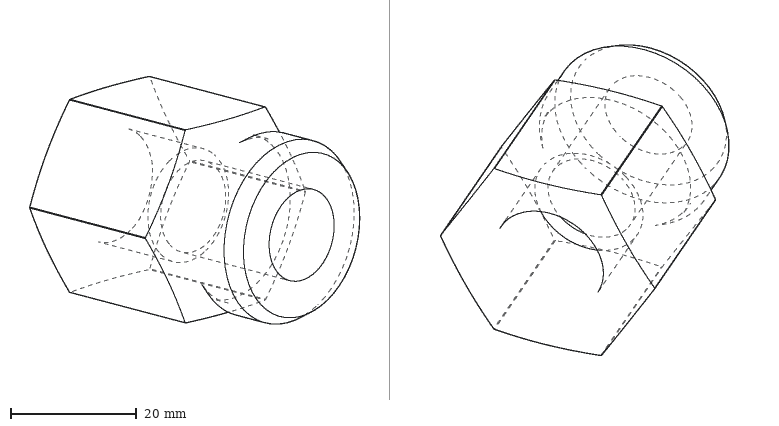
import cadquery as cq
import math

total_length = 43.0
hex_length = 27.0
across_flats = 32.0
hex_corner_diameter = 36.85
hex_face_diameter = 31.1
hex_chamfer_angle = 15.0

neck_diameter = 26.9
spigot_diameter = 30.0
spigot_taper_angle = 30.0
collar_start = 33.8
end_chamfer_length = 2.75
neck_root_radius = 1.15
neck_blend_radius = 1.0
collar_blend_radius = 0.65

through_diameter = 15.0
socket_diameter = 18.6
socket_depth = 18.05
drill_point_angle = 118.0
mouth_diameter = 21.4
mouth_cone_angle = 45.0
mouth_blend_radius = 0.25

overlap = 0.45


def tangent(degrees):
    return math.tan(math.radians(degrees))


def revolve_about_x(profile):
    return profile.close().revolve(360, (0, 0, 0), (1, 0, 0))


def blend_edge_at(body, x, radius, max_diameter):
    """Round the circular edges centred at x whose diameter is at most max_diameter."""
    half_band = 0.05
    reach = max_diameter / 2 + overlap
    band = cq.selectors.BoxSelector(
        (x - half_band, -reach, -reach), (x + half_band, reach, reach), boundingbox=True
    )
    return body.edges("%CIRCLE").edges(band).fillet(radius)


def make_hexagon():
    """Hexagonal prism with flats on top and bottom, turned and chamfered at both ends."""
    corner_to_corner = across_flats / math.cos(math.radians(30))
    prism = cq.Workplane("YZ").polygon(6, corner_to_corner).extrude(hex_length)
    corner_radius = hex_corner_diameter / 2
    face_radius = hex_face_diameter / 2
    chamfer_length = (corner_radius - face_radius) * tangent(hex_chamfer_angle)
    envelope = revolve_about_x(
        cq.Workplane("XY")
        .lineTo(0, face_radius)
        .lineTo(chamfer_length, corner_radius)
        .lineTo(hex_length - chamfer_length, corner_radius)
        .lineTo(hex_length, face_radius)
        .lineTo(hex_length, 0)
    )
    return prism.intersect(envelope)


def make_spigot():
    """Neck and tapered collar, starting inside the hexagon so that the two solids merge."""
    neck_radius = neck_diameter / 2
    collar_radius = spigot_diameter / 2
    taper_length = (collar_radius - neck_radius) / tangent(spigot_taper_angle)
    end_radius = collar_radius - end_chamfer_length * tangent(spigot_taper_angle)
    taper_start = collar_start - taper_length
    spigot = revolve_about_x(
        cq.Workplane("XY")
        .moveTo(hex_length - overlap, 0)
        .lineTo(hex_length - overlap, neck_radius)
        .lineTo(taper_start, neck_radius)
        .lineTo(collar_start, collar_radius)
        .lineTo(total_length - end_chamfer_length, collar_radius)
        .lineTo(total_length, end_radius)
        .lineTo(total_length, 0)
    )
    spigot = blend_edge_at(spigot, taper_start, neck_blend_radius, spigot_diameter)
    return blend_edge_at(spigot, collar_start, collar_blend_radius, spigot_diameter)


def make_neck_root():
    """Concave ring joining the neck to the hexagon face."""
    neck_radius = neck_diameter / 2
    root_end = hex_length + neck_root_radius
    root_top = neck_radius + neck_root_radius
    arc_offset = neck_root_radius * (1 - math.sqrt(0.5))
    return revolve_about_x(
        cq.Workplane("XY")
        .moveTo(hex_length - overlap, neck_radius - overlap)
        .lineTo(hex_length - overlap, root_top)
        .lineTo(hex_length, root_top)
        .threePointArc((hex_length + arc_offset, neck_radius + arc_offset), (root_end, neck_radius))
        .lineTo(root_end, neck_radius - overlap)
    )


def make_bore():
    """Through bore, drilled socket and conical mouth at the hexagon face, with the depth of the mouth."""
    through_radius = through_diameter / 2
    socket_radius = socket_diameter / 2
    mouth_radius = mouth_diameter / 2
    cone_depth = (mouth_radius - socket_radius) / tangent(mouth_cone_angle)
    point_length = (socket_radius - through_radius) / tangent(drill_point_angle / 2)
    bore = revolve_about_x(
        cq.Workplane("XY")
        .lineTo(0, mouth_radius)
        .lineTo(cone_depth, socket_radius)
        .lineTo(socket_depth, socket_radius)
        .lineTo(socket_depth + point_length, through_radius)
        .lineTo(total_length, through_radius)
        .lineTo(total_length, 0)
    )
    return bore, cone_depth


bore, mouth_depth = make_bore()
outside = make_hexagon().union(make_spigot()).union(make_neck_root())
result = outside.cut(bore)
for edge_x in (0, mouth_depth):
    result = blend_edge_at(result, edge_x, mouth_blend_radius, mouth_diameter)